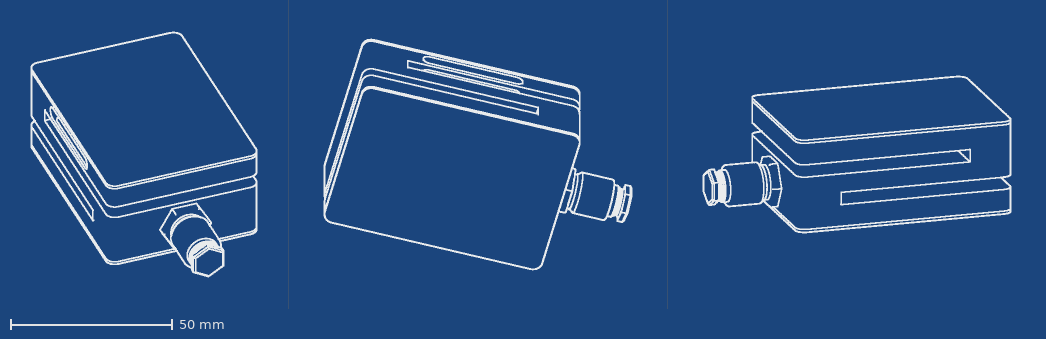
import cadquery as cq
import math

block_length = 70.0
block_width = 50.0
block_height = 30.0
corner_radius = 3.0
cover_thickness = 1.0

slit_height = 4.0
slit_end_wall = 14.0
slit_center_offset = 5.0
slit_depth = block_length - slit_end_wall

slot_length = 32.0
slot_height = 4.0
slot_center_z = 25.5
slot_slope_angle = 45.0

gland_axis_z = 9.5
gland_length = 21.5
mount_hex_flats = 14.0
mount_hex_length = 2.7
mount_hex_edge_radius = 0.6
cap_hex_flats = 10.0
cap_hex_length = 2.1
cap_hex_chamfer = 0.5

neck_radius = 5.5
neck_end = 3.95
shoulder_step_radius = 5.6
shoulder_radius = 5.85
shoulder_position = 4.5
barrel_radius = 6.5
barrel_start = 5.3
barrel_end = 15.0
barrel_edge_radius = 0.6
collar_radius = 5.0
collar_end = 17.2
ring_radii = [4.6, 4.3]
ring_length = 0.55
groove_radius = 4.0
flare_radius = 4.9
flare_length = 0.6

right_face_x = block_length / 2
front_face_y = -block_width / 2
slit_middle_z = block_height / 2
upper_slit_z = slit_middle_z + slit_center_offset
lower_slit_z = slit_middle_z - slit_center_offset
upper_slit_roof_z = upper_slit_z + slit_height / 2

slot_drop = slot_center_z + slot_height / 2 - upper_slit_roof_z
slot_run = slot_drop / math.tan(math.radians(slot_slope_angle))


def rounded_slab(bottom_z, thickness):
    """Rectangular slab with rounded vertical corners."""
    return (
        cq.Workplane("XY", origin=(0, 0, bottom_z))
        .rect(block_length, block_width)
        .extrude(thickness)
        .edges("|Z")
        .fillet(corner_radius)
    )


def make_slit(side, center_z):
    """Full-width slit open on one end of the housing (side = +1 right, -1 left)."""
    center_x = side * (block_length - slit_depth) / 2
    return cq.Workplane("XY", origin=(center_x, 0, center_z)).box(slit_depth, block_width, slit_height)


def make_sloping_slot():
    """Oblong outline on the front face, carried obliquely down into the upper slit."""
    outline = (
        cq.Workplane("XZ", origin=(0, front_face_y, slot_center_z))
        .slot2D(slot_length, slot_height)
        .wires()
        .val()
    )
    slope = cq.Vector(0, slot_run, -slot_drop)
    prism = cq.Workplane(cq.Solid.extrudeLinear(outline, [], slope))
    above_roof = rounded_slab(upper_slit_roof_z, block_height - upper_slit_roof_z)
    return prism.intersect(above_roof)


def make_housing():
    housing = rounded_slab(cover_thickness, block_height - 2 * cover_thickness)
    housing = housing.cut(make_slit(1, upper_slit_z))
    housing = housing.cut(make_slit(-1, lower_slit_z))
    return housing.cut(make_sloping_slot())


def make_cover(bottom_z):
    return rounded_slab(bottom_z, cover_thickness)


def make_hexagon(start, length, flats, turn_angle):
    """Hexagonal prism on the gland axis; a turn_angle of 0 puts a corner at the top."""
    return (
        cq.Workplane("YZ", origin=(right_face_x + start, 0, gland_axis_z))
        .transformed(rotate=(0, 0, turn_angle))
        .polygon(6, flats, circumscribed=True)
        .extrude(length)
    )


def make_turned_body():
    """Revolved middle of the gland, from the housing to the cap hexagon."""
    cap_start = gland_length - cap_hex_length
    barrel_face = barrel_end + barrel_edge_radius
    arc_center_radius = barrel_radius - barrel_edge_radius
    arc_middle_offset = barrel_edge_radius * math.sqrt(0.5)
    profile = (
        cq.Workplane("XY", origin=(right_face_x, 0, gland_axis_z))
        .lineTo(0, neck_radius)
        .lineTo(neck_end, neck_radius)
        .lineTo(neck_end, shoulder_step_radius)
        .lineTo(shoulder_position, shoulder_radius)
        .lineTo(barrel_start, barrel_radius)
        .lineTo(barrel_end, barrel_radius)
        .threePointArc(
            (barrel_end + arc_middle_offset, arc_center_radius + arc_middle_offset),
            (barrel_face, arc_center_radius),
        )
        .lineTo(barrel_face, collar_radius)
        .lineTo(collar_end, collar_radius)
    )
    position = collar_end
    for radius in ring_radii:
        profile = profile.lineTo(position, radius)
        position += ring_length
        profile = profile.lineTo(position, radius)
    profile = (
        profile.lineTo(position, groove_radius)
        .lineTo(cap_start - flare_length, groove_radius)
        .lineTo(cap_start, flare_radius)
        .lineTo(cap_start, 0)
        .close()
    )
    return profile.revolve(360, (0, 0), (1, 0))


def make_gland():
    mount_hex = make_hexagon(0, mount_hex_length, mount_hex_flats, 90)
    mount_hex = mount_hex.faces(">X").fillet(mount_hex_edge_radius)
    cap_hex = make_hexagon(gland_length - cap_hex_length, cap_hex_length, cap_hex_flats, 0)
    cap_hex = cap_hex.faces(">X").chamfer(cap_hex_chamfer)
    return make_turned_body().union(mount_hex).union(cap_hex)


housing = make_housing()
bottom_cover = make_cover(0)
top_cover = make_cover(block_height - cover_thickness)
gland = make_gland()

result = cq.Compound.makeCompound([housing.val(), bottom_cover.val(), top_cover.val(), gland.val()])